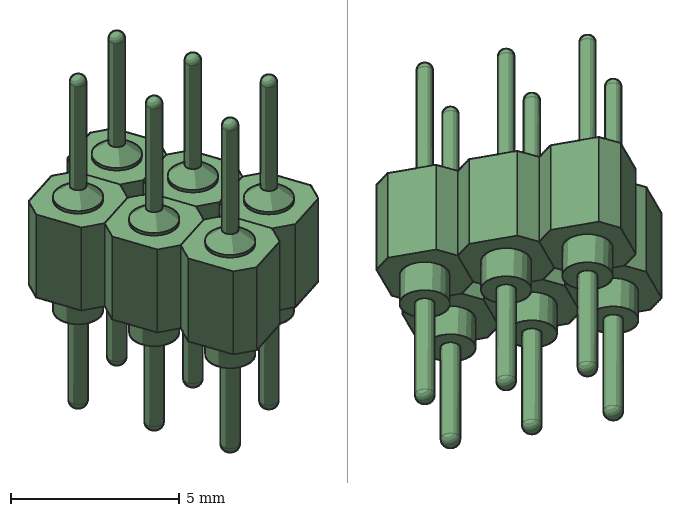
import cadquery as cq
import math

columns = 3
rows = 2
header_length = 7.62
pitch = header_length / columns

block_height = 3.0
corner_chamfer = 0.52

sleeve_diameter = 1.5
sleeve_length = 1.0

collar_diameter = sleeve_diameter
rim_height = 0.1
collar_height = 0.5

total_height = 12.0
lower_pin_diameter = 0.6
lower_pin_length = 3.5
upper_pin_diameter = 0.5

sleeve_bottom = -sleeve_length
contact_bottom = sleeve_bottom - lower_pin_length
contact_top = contact_bottom + total_height
rim_top = block_height + rim_height
collar_top = block_height + collar_height


def make_block():
    """Square prism, one pitch wide, with its upright edges chamfered."""
    return (
        cq.Workplane("XY")
        .rect(pitch, pitch)
        .extrude(block_height)
        .edges("|Z")
        .chamfer(corner_chamfer)
    )


def make_turned_contact():
    """Pins, sleeve and collar as one profile revolved about the Z axis."""
    lower_radius = lower_pin_diameter / 2
    upper_radius = upper_pin_diameter / 2
    sleeve_radius = sleeve_diameter / 2
    collar_radius = collar_diameter / 2
    diagonal = math.sqrt(0.5)

    lower_dome_center = contact_bottom + lower_radius
    upper_dome_center = contact_top - upper_radius
    lower_dome_middle = (lower_radius * diagonal, lower_dome_center - lower_radius * diagonal)
    upper_dome_middle = (upper_radius * diagonal, upper_dome_center + upper_radius * diagonal)

    return (
        cq.Workplane("XZ")
        .moveTo(0, contact_bottom)
        .threePointArc(lower_dome_middle, (lower_radius, lower_dome_center))
        .lineTo(lower_radius, sleeve_bottom)
        .lineTo(sleeve_radius, sleeve_bottom)
        .lineTo(collar_radius, rim_top)
        .lineTo(upper_radius, collar_top)
        .lineTo(upper_radius, upper_dome_center)
        .threePointArc(upper_dome_middle, (0, contact_top))
        .close()
        .revolve(360, (0, 0, 0), (0, 1, 0))
    )


def make_header_cell():
    """One cell of the header: the insulator block joined to its contact."""
    return make_block().union(make_turned_contact())


header_cells = []
for column in range(columns):
    for row in range(rows):
        x = (column - (columns - 1) / 2) * pitch
        y = (row - (rows - 1) / 2) * pitch
        header_cells.append(make_header_cell().translate((x, y, 0)).val())

result = cq.Compound.makeCompound(header_cells)